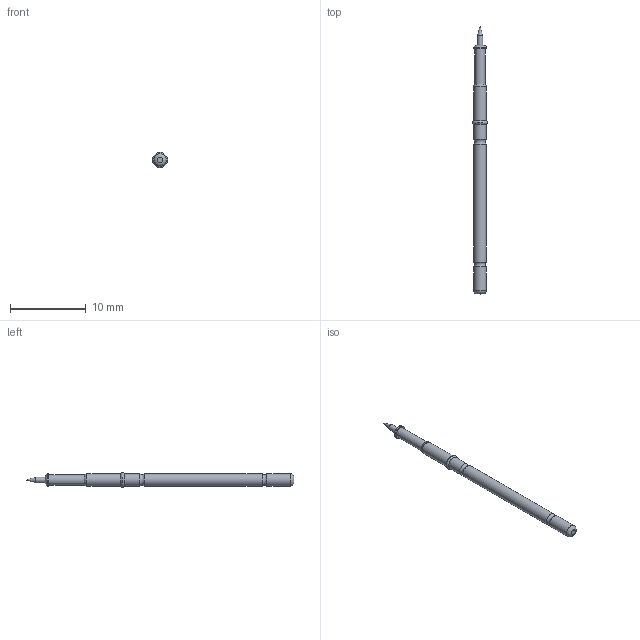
import cadquery as cq
import math

overall_length = 35.4

barrel_radius = 0.825
barrel_end = 27.36
edge_round = 0.45
end_flat_radius = barrel_radius - edge_round
crimp_radius = 0.70
crimp_width = 0.62
crimp_positions = (3.9, 20.1)

ring_radius = 1.0
ring_bead_radius = 0.225
ring_position = 22.65

plunger_radius = 0.675
collar_radius = 0.88
collar_start = 32.37
collar_shoulder = 32.58
collar_top = 32.85
collar_dome_radius = 0.62
needle_radius = 0.375
needle_cone_start = 34.08


def revolve_about_axis(profile):
    """Close a (radius, Y) half profile on the XY plane and revolve it about the Y axis."""
    return profile.close().revolve(360, (0, 0, 0), (0, 1, 0))


def make_barrel():
    mouth_run = math.sqrt(edge_round**2 - (plunger_radius - end_flat_radius) ** 2)
    profile = (
        cq.Workplane("XY")
        .lineTo(end_flat_radius, 0)
        .radiusArc((barrel_radius, edge_round), -edge_round)
        .lineTo(barrel_radius, barrel_end)
        .radiusArc((plunger_radius, barrel_end + mouth_run), -edge_round)
        .lineTo(0, barrel_end + mouth_run)
    )
    return revolve_about_axis(profile)


def make_crimp_groove(position):
    """Ring cutter with a concave rounded bottom."""
    half_width = crimp_width / 2
    profile = (
        cq.Workplane("XY")
        .moveTo(barrel_radius, position - half_width)
        .threePointArc((crimp_radius, position), (barrel_radius, position + half_width))
        .lineTo(ring_radius, position + half_width)
        .lineTo(ring_radius, position - half_width)
    )
    return revolve_about_axis(profile)


def make_press_ring():
    bead_center_radius = ring_radius - ring_bead_radius
    bead = cq.Workplane("XY").center(bead_center_radius, ring_position).circle(ring_bead_radius)
    return bead.revolve(360, (-bead_center_radius, 0, 0), (-bead_center_radius, 1, 0))


def make_plunger():
    profile = (
        cq.Workplane("XY")
        .moveTo(0, barrel_end)
        .lineTo(plunger_radius, barrel_end)
        .lineTo(plunger_radius, collar_start)
        .lineTo(collar_radius, collar_start)
        .lineTo(collar_radius, collar_shoulder)
        .radiusArc((needle_radius, collar_top), -collar_dome_radius)
        .lineTo(needle_radius, needle_cone_start)
        .lineTo(0, overall_length)
    )
    return revolve_about_axis(profile)


barrel = make_barrel()
for crimp_position in crimp_positions:
    barrel = barrel.cut(make_crimp_groove(crimp_position))

result = barrel.union(make_press_ring()).union(make_plunger())